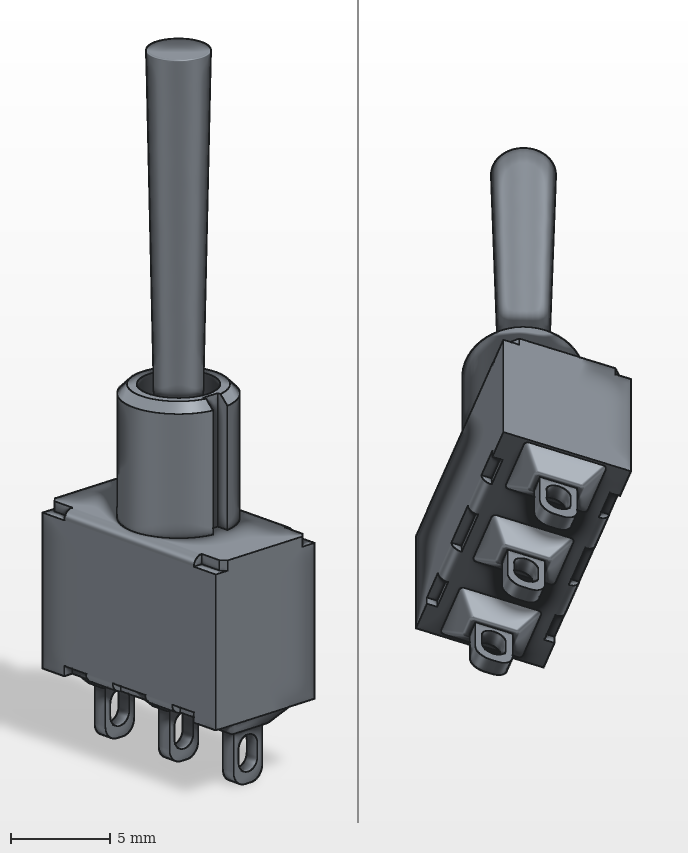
import cadquery as cq
import math


housing_length = 12.7
housing_width = 6.86
housing_height = 8.9
bracket_thickness = 0.55
bracket_length = 9.5
cover_width = housing_width - 2 * bracket_thickness
cover_corner_chamfer = 0.3
shoulder_height = housing_height - bracket_thickness

tab_length = 1.97
tab_offset = 2.18

bushing_radius = 6.2 / 2
bushing_height = 7.15
bushing_chamfer = 0.5
bushing_top = housing_height + bushing_height
keyway_width = 1.0
keyway_floor = 2.35

bore_radius = 4.2 / 2
ball_depth = 2.4
ball_center_height = bushing_top - ball_depth

overall_height = 37.99
lug_drop = 4.0
lever_top = overall_height - lug_drop
lever_tip_radius = 3.3 / 2
lever_root_radius = 2.54 / 2
lever_tip_fillet = 0.1

lug_pitch = 4.7
lug_thickness = 0.8
lug_width = 2.0
lug_corner_radius = 0.8
eyelet_width = 1.3
eyelet_length = 2.0
eyelet_center = -2.38
skirt_height = 1.05
skirt_length = 3.0
skirt_width = 4.4
skirt_taper = 41
skirt_corner_fillet = 0.3
skirt_bottom_fillet = 0.25


def rounded_bar(length):
    """Bar across the housing, one bracket thickness high, with both long top edges fully rounded."""
    arc_inset = bracket_thickness * (1 - math.sqrt(0.5))
    arc_y = housing_width / 2 - arc_inset
    arc_z = bracket_thickness - arc_inset
    return (
        cq.Workplane("YZ")
        .moveTo(-housing_width / 2, 0)
        .lineTo(housing_width / 2, 0)
        .threePointArc((arc_y, arc_z), (cover_width / 2, bracket_thickness))
        .lineTo(-cover_width / 2, bracket_thickness)
        .threePointArc((-arc_y, arc_z), (-housing_width / 2, 0))
        .close()
        .extrude(length / 2, both=True)
    )


def make_block():
    block = cq.Workplane("XY").box(
        housing_length, housing_width, shoulder_height, centered=(True, True, False)
    )

    recess_y = (housing_width - bracket_thickness) / 2
    for side in (-1, 1):
        recess = cq.Workplane("XY", origin=(0, side * recess_y, 0)).box(
            bracket_length, bracket_thickness, bracket_thickness, centered=(True, True, False)
        )
        block = block.cut(recess)

    tab = rounded_bar(tab_length).rotate((0, 0, 0), (1, 0, 0), 180)
    for side in (-1, 1):
        block = block.union(tab.translate((side * tab_offset, 0, bracket_thickness)))

    cover = (
        cq.Workplane("XY")
        .box(housing_length, cover_width, bracket_thickness, centered=(True, True, False))
        .edges("|Z")
        .chamfer(cover_corner_chamfer)
        .translate((0, 0, shoulder_height))
    )
    bend = rounded_bar(bracket_length).translate((0, 0, shoulder_height))
    return block.union(cover).union(bend)


def make_bushing():
    bushing = (
        cq.Workplane("XY", origin=(0, 0, housing_height))
        .circle(bushing_radius)
        .extrude(bushing_height)
        .faces(">Z")
        .chamfer(bushing_chamfer)
    )
    keyway = cq.Workplane("XY").box(
        bushing_radius, keyway_width, bushing_height, centered=(False, True, False)
    ).translate((keyway_floor, 0, housing_height))
    return bushing.cut(keyway)


def make_ball():
    return cq.Workplane("XY").sphere(bore_radius).translate((0, 0, ball_center_height))


def make_bore():
    straight_bore = cq.Workplane("XY", origin=(0, 0, bushing_top)).circle(bore_radius).extrude(-ball_depth)
    return straight_bore.union(make_ball())


def make_lug():
    """Flat lug with an eyelet, hanging below a tapered skirt."""
    blade = (
        cq.Workplane("XY")
        .box(lug_thickness, lug_width, lug_drop, centered=(True, True, False))
        .translate((0, 0, -lug_drop))
        .edges("|X and <Z")
        .fillet(lug_corner_radius)
    )
    eyelet = (
        cq.Workplane("YZ", origin=(0, 0, eyelet_center))
        .slot2D(eyelet_length, eyelet_width, 90)
        .extrude(lug_thickness, both=True)
    )
    skirt = (
        cq.Workplane("XY")
        .rect(skirt_length, skirt_width)
        .extrude(-skirt_height, taper=skirt_taper)
        .edges("not(#Z)")
        .fillet(skirt_corner_fillet)
        .faces("<Z")
        .edges()
        .fillet(skirt_bottom_fillet)
    )
    return blade.cut(eyelet).union(skirt)


def make_housing():
    housing = make_block().union(make_bushing()).cut(make_bore())
    lug = make_lug()
    for position in (-1, 0, 1):
        housing = housing.union(lug.translate((position * lug_pitch, 0, 0)))
    return housing


def make_lever():
    """Shaft widening from the bushing mouth to its tip, running down into the pivot ball."""
    taper = (lever_tip_radius - lever_root_radius) / (lever_top - bushing_top)
    shaft_base_radius = lever_root_radius - taper * ball_depth
    shaft = (
        cq.Workplane("XZ")
        .moveTo(0, ball_center_height)
        .lineTo(shaft_base_radius, ball_center_height)
        .lineTo(lever_tip_radius, lever_top)
        .lineTo(0, lever_top)
        .close()
        .revolve(360, (0, 0, 0), (0, 1, 0))
        .faces(">Z")
        .edges()
        .fillet(lever_tip_fillet)
    )
    return shaft.union(make_ball())


housing = make_housing()
lever = make_lever()

result = cq.Compound.makeCompound([housing.val(), lever.val()])